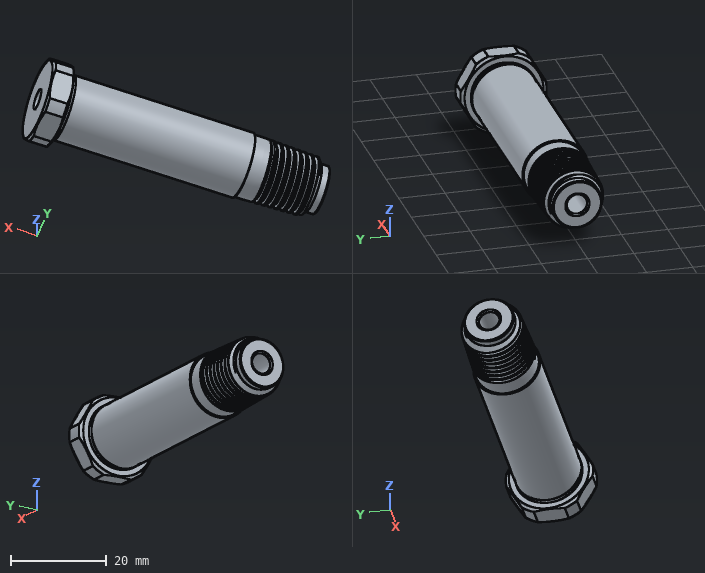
import cadquery as cq
import math

total_length = 63.5
head_length = 4.87
head_start = total_length - head_length

across_flats = 17.46
head_turned_diameter = 18.67
head_chamfer_radial = 0.8
head_chamfer_angle = 30.0

shank_diameter = 14.29
shank_start = 17.5
undercut_width = 0.95
undercut_depth = 0.4
undercut_rise = 0.43

pilot_diameter = 10.6
pilot_length = 1.83
pilot_chamfer = 0.2
lead_in_slope = math.tan(math.radians(50))

bore_diameter = 4.4
bore_chamfer = 0.4

thread_end = 15.24
thread_end_radius = 6.85
taper_slope = 1 / 32
pitch = 25.4 / 18
groove_depth = 0.8
groove_root_flat = 0.1
groove_half_angle = math.radians(30)
groove_overshoot = 0.2
groove_start_turn = -9.0
groove_fade_turn = -0.75
groove_end_x = 14.2
groove_end_angle = math.radians(192)
groove_section_turns = 0.5
points_per_section = 12


def thread_radius(x):
    """Radius of the tapered thread crest at position x."""
    return thread_end_radius - taper_slope * (thread_end - x)


def make_blank():
    """Turned shape of the pilot, thread blank, shank and undercut."""
    pilot_radius = pilot_diameter / 2
    shank_radius = shank_diameter / 2
    lead_in = (thread_radius(pilot_length) - pilot_radius) / (lead_in_slope - taper_slope)
    lead_in_end = pilot_length + lead_in
    undercut_radius = shank_radius - undercut_depth
    profile = [
        (0, 0),
        (0, pilot_radius - pilot_chamfer),
        (pilot_chamfer, pilot_radius),
        (pilot_length, pilot_radius),
        (lead_in_end, thread_radius(lead_in_end)),
        (thread_end, thread_end_radius),
        (shank_start, thread_end_radius),
        (shank_start, shank_radius),
        (head_start - undercut_width, shank_radius),
        (head_start - undercut_rise, undercut_radius),
        (head_start, undercut_radius + undercut_rise),
        (head_start, 0),
    ]
    return cq.Workplane("XY").polyline(profile).close().revolve(360, (0, 0, 0), (1, 0, 0))


def make_head():
    """Hexagon with flats facing +Z and -Z, corners turned and chamfered at both ends."""
    across_corners = across_flats / math.cos(math.radians(30))
    hexagon = (
        cq.Workplane("YZ", origin=(head_start, 0, 0))
        .polygon(6, across_corners)
        .extrude(head_length)
    )
    turned_radius = head_turned_diameter / 2
    face_radius = turned_radius - head_chamfer_radial
    chamfer_length = head_chamfer_radial * math.tan(math.radians(head_chamfer_angle))
    envelope_profile = [
        (head_start, 0),
        (head_start, face_radius),
        (head_start + chamfer_length, turned_radius),
        (total_length - chamfer_length, turned_radius),
        (total_length, face_radius),
        (total_length, 0),
    ]
    envelope = (
        cq.Workplane("XY").polyline(envelope_profile).close().revolve(360, (0, 0, 0), (1, 0, 0))
    )
    return hexagon.intersect(envelope)


def groove_corner(turn, x_offset, height):
    """Point on the groove helix; turn is 0 where the groove has faded out completely."""
    x = groove_end_x + turn * pitch
    angle = groove_end_angle + turn * 2 * math.pi
    lift = max(0, 1 - turn / groove_fade_turn) * groove_depth
    radius = thread_radius(x) - groove_depth + lift + height
    return cq.Vector(x + x_offset, radius * math.cos(angle), radius * math.sin(angle))


def groove_flanks(corners, start, end):
    """Ruled helical faces of the groove cutter between two turns."""
    turns = [start + (end - start) * i / points_per_section for i in range(points_per_section + 1)]
    rails = [
        cq.Edge.makeSpline([groove_corner(turn, *corner) for turn in turns])
        for corner in corners
    ]
    return [cq.Face.makeRuledSurface(rails[i - 1], rails[i]) for i in range(len(rails))]


def make_groove():
    """Right-hand helical V-groove cutter that rises out of the surface at its end."""
    cutter_height = groove_depth + groove_overshoot
    root_half = groove_root_flat / 2
    mouth_half = root_half + cutter_height * math.tan(groove_half_angle)
    corners = [
        (-root_half, 0),
        (root_half, 0),
        (mouth_half, cutter_height),
        (-mouth_half, cutter_height),
    ]
    count = math.ceil((groove_fade_turn - groove_start_turn) / groove_section_turns)
    joints = [groove_fade_turn - i * groove_section_turns for i in range(count, -1, -1)] + [0]
    sections = zip(joints[:-1], joints[1:])
    faces = [face for start, end in sections for face in groove_flanks(corners, start, end)]
    for turn in (joints[0], joints[-1]):
        outline = cq.Wire.makePolygon([groove_corner(turn, *c) for c in corners], close=True)
        faces.append(cq.Face.makeFromWires(outline))
    return cq.Workplane(cq.Solid.makeSolid(cq.Shell.makeShell(faces)))


def make_bore():
    """Through bore with a 45 degree chamfer at the pilot face."""
    bore_radius = bore_diameter / 2
    profile = [
        (0, 0),
        (0, bore_radius + bore_chamfer),
        (bore_chamfer, bore_radius),
        (total_length, bore_radius),
        (total_length, 0),
    ]
    return cq.Workplane("XY").polyline(profile).close().revolve(360, (0, 0, 0), (1, 0, 0))


threaded_blank = make_blank().cut(make_groove())
result = threaded_blank.union(make_head()).cut(make_bore())